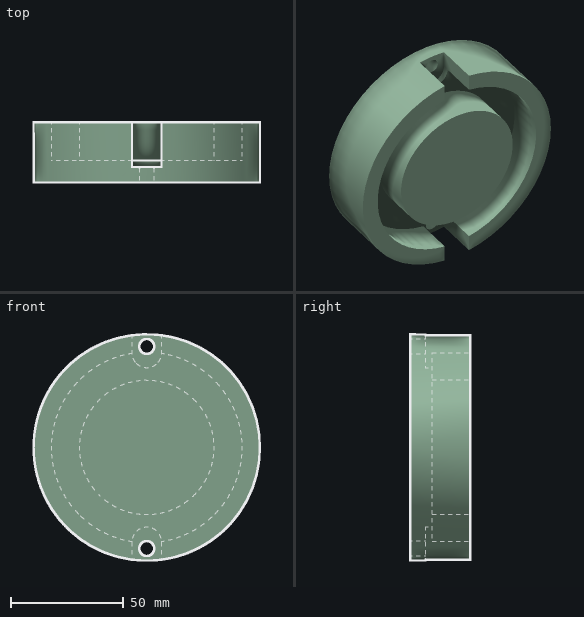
import cadquery as cq

outer_diameter = 101
thickness = 27.0
hub_diameter = 60.0
rim_inner_diameter = 85.0
groove_floor = 9.8
notch_width = 13.0
notch_floor = 7.0
notch_end_radius = 42.0
hole_diameter = 6.6
hole_radius = 45.0


def cylinder_y(diameter, start, end, z=0):
    """Cylinder along Y from start to end, centred at height z."""
    plane = cq.Plane(origin=(0, start, z), xDir=(1, 0, 0), normal=(0, 1, 0))
    return cq.Workplane(plane).circle(diameter / 2).extrude(end - start)


def annular_groove():
    """Ring-shaped recess between the rim and the central hub, open at the back."""
    recess = cylinder_y(rim_inner_diameter, groove_floor, thickness)
    return recess.cut(cylinder_y(hub_diameter, groove_floor, thickness))


def rim_notch():
    """Round-ended notch through the top of the rim, reaching into the groove."""
    rounded_end = cylinder_y(notch_width, notch_floor, thickness, notch_end_radius)
    opening = cq.Workplane("XY").box(
        notch_width,
        thickness - notch_floor,
        outer_diameter / 2 - notch_end_radius,
        centered=(True, False, False),
    )
    return rounded_end.union(opening.translate((0, notch_floor, notch_end_radius)))


def screw_hole():
    """Through hole in the closed face, opening into the notch."""
    return cylinder_y(hole_diameter, 0, thickness, hole_radius)


result = cylinder_y(outer_diameter, 0, thickness).cut(annular_groove())

for angle in (0, 180):
    for cutter in (rim_notch(), screw_hole()):
        result = result.cut(cutter.rotate((0, 0, 0), (0, 1, 0), angle))